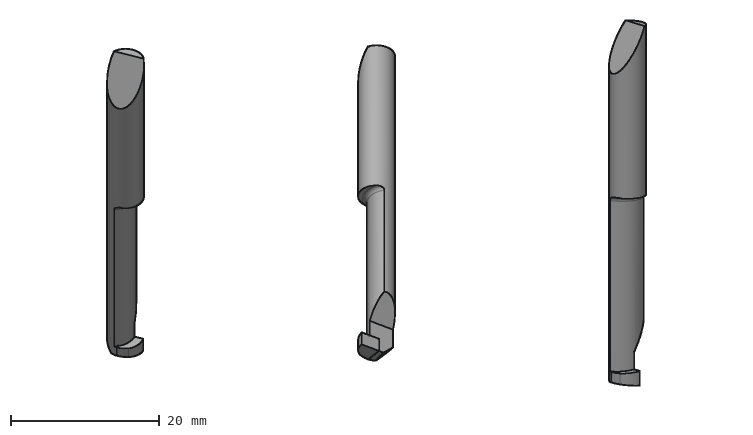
import cadquery as cq
import math

LENGTH = 49.5
DIAMETER = 5.0
RADIUS = DIAMETER / 2
REACH = DIAMETER

SLANT = math.tan(math.radians(60))
TOP_FLAT_Y = 1.25
RAKE_Y = 0.25
RAKE_TOP_Z = 4.45
CORNER_CHAMFER = 1.55

NECK_RADIUS = 2.95
NECK_RIGHT_X = 1.25
NECK_CENTER_X = NECK_RIGHT_X - NECK_RADIUS
NECK_CENTER_Y = 0.35
SHOULDER_Z = 26.0
NECK_FILLET = 0.6

TIP_LEFT_X = -0.25
TIP_HEIGHT = 2.05
CLEARANCE = math.tan(math.radians(6))
CLEARANCE_SHIFT = CLEARANCE * (REACH + RAKE_Y)
RELIEF_RISE = 0.075


def prism_yz(points, start_x, end_x):
    """Extrude a (y, z) outline from start_x to end_x."""
    return (cq.Workplane("YZ").workplane(offset=start_x)
            .polyline(points).close().extrude(end_x - start_x))


def make_blank():
    """Round bar with both slanted ends, rake face, end clearance and corner chamfer."""
    bar = cq.Workplane("XY").circle(RADIUS).extrude(LENGTH)
    top_slant = prism_yz([
        (TOP_FLAT_Y, LENGTH),
        (-REACH, LENGTH),
        (-REACH, LENGTH - SLANT * (TOP_FLAT_Y + REACH)),
    ], -REACH, REACH)
    rear_slant = prism_yz([
        (RAKE_Y, 0),
        (RAKE_Y, RAKE_TOP_Z),
        (REACH, RAKE_TOP_Z + SLANT * (REACH - RAKE_Y)),
        (REACH, 0),
    ], -REACH, REACH)
    end_clearance = prism_yz([
        (RAKE_Y, 0),
        (-REACH, 0),
        (-REACH, CLEARANCE_SHIFT),
    ], -REACH, REACH)
    corner = (cq.Workplane("XZ")
              .polyline([(-RADIUS, 0), (-RADIUS, CORNER_CHAMFER), (CORNER_CHAMFER - RADIUS, 0)])
              .close().extrude(REACH, both=True))
    return bar.cut(top_slant).cut(rear_slant).cut(end_clearance).cut(corner)


def make_tip_zone(start_x):
    """Space below the sloping top of the tip, from start_x to beyond the +X side."""
    return prism_yz([
        (RAKE_Y, 0),
        (RAKE_Y, TIP_HEIGHT),
        (-REACH, TIP_HEIGHT - CLEARANCE_SHIFT),
        (-REACH, 0),
    ], start_x, REACH)


def make_neck_cutter():
    """Ring around the neck axis, rounded where the neck runs into the shoulder."""
    outer_radius = NECK_RADIUS + RADIUS
    corner_inset = NECK_FILLET * (1 - math.sqrt(0.5))
    ring = (cq.Workplane("XZ")
            .moveTo(NECK_RADIUS, 0)
            .lineTo(NECK_RADIUS, SHOULDER_Z - NECK_FILLET)
            .threePointArc((NECK_RADIUS + corner_inset, SHOULDER_Z - corner_inset),
                           (NECK_RADIUS + NECK_FILLET, SHOULDER_Z))
            .lineTo(outer_radius, SHOULDER_Z)
            .lineTo(outer_radius, 0)
            .close()
            .revolve(360, (0, 0, 0), (0, 1, 0))
            .translate((NECK_CENTER_X, NECK_CENTER_Y, 0)))
    return ring.cut(make_tip_zone(-REACH))


def make_front_relief():
    """Sliver between the bar surface and the flatter front land of the tip."""
    left_y = -math.sqrt(RADIUS**2 - TIP_LEFT_X**2)
    right_y = -math.sqrt(RADIUS**2 - NECK_RIGHT_X**2)
    span_x = NECK_RIGHT_X - TIP_LEFT_X
    span_y = right_y - left_y
    span = math.hypot(span_x, span_y)
    land_middle = (
        (TIP_LEFT_X + NECK_RIGHT_X) / 2 + RELIEF_RISE * span_y / span,
        (left_y + right_y) / 2 - RELIEF_RISE * span_x / span,
    )
    return (cq.Workplane("XY")
            .moveTo(TIP_LEFT_X, left_y)
            .threePointArc(land_middle, (NECK_RIGHT_X, right_y))
            .lineTo(NECK_RIGHT_X, -REACH)
            .lineTo(TIP_LEFT_X, -REACH)
            .close().extrude(TIP_HEIGHT))


def make_shank(blank):
    """Bar with its neck, recessed to receive the tip."""
    return blank.cut(make_neck_cutter()).cut(make_tip_zone(TIP_LEFT_X))


def make_tip(blank):
    """Cutting tip at the lower end, on the +X side."""
    return blank.intersect(make_tip_zone(TIP_LEFT_X)).cut(make_front_relief())


blank = make_blank()
shank = make_shank(blank)
tip = make_tip(blank)

result = cq.Compound.makeCompound([shank.val(), tip.val()])